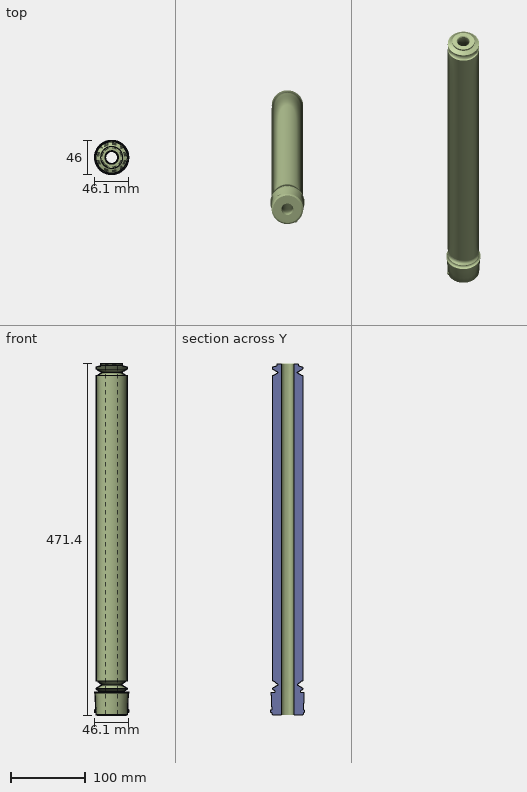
import cadquery as cq

total_height = 471.44
body_diameter = 42.0
neck_diameter = 29.4
waist_diameter = 35.0
shoulder_diameter = 38.0
groove_diameter = 26.0
bore_diameter = 16.0
bore_chamfer = 1.0

cap_height = 31.0
flange_diameter = 46.0
flange_thickness = 1.0
cap_top_diameter = 45.0
cap_bottom_diameter = 42.4
bottom_chamfer_width = 2.0
bottom_chamfer_height = 1.0

pin_diameter = 4.0
pin_height = 5.8
pin_span = 46.1
pin_chamfer = 0.6

ridge_base = 32.7
ridge_bottom = 35.3
ridge_top = 36.2
lower_groove_height = 41.0
body_bottom = 45.8
body_top = 455.7
upper_groove_height = 459.3
rim_bottom = 464.1
rim_top = 466.6
neck_base = 468.6

body_radius = body_diameter / 2
neck_radius = neck_diameter / 2
shoulder_radius = shoulder_diameter / 2
groove_radius = groove_diameter / 2
waist_radius = waist_diameter / 2


def make_column():
    """Revolve the tube with its two V-grooves, the top rim and the ridge above the cap."""
    return (
        cq.Workplane("XZ")
        .moveTo(0, cap_height)
        .lineTo(waist_radius, cap_height)
        .lineTo(waist_radius, ridge_base)
        .lineTo(body_radius, ridge_bottom)
        .lineTo(body_radius, ridge_top)
        .lineTo(groove_radius, lower_groove_height)
        .lineTo(shoulder_radius, body_bottom)
        .lineTo(body_radius, body_bottom)
        .lineTo(body_radius, body_top)
        .lineTo(shoulder_radius, body_top)
        .lineTo(groove_radius, upper_groove_height)
        .lineTo(body_radius, rim_bottom)
        .lineTo(body_radius, rim_top)
        .lineTo(neck_radius, neck_base)
        .lineTo(neck_radius, total_height)
        .lineTo(0, total_height)
        .close()
        .revolve(360, (0, 0, 0), (0, 1, 0))
    )


def make_cap():
    """Revolve the tapered cap with a thin flange at its top and a chamfered bottom edge."""
    flange_bottom = cap_height - flange_thickness
    return (
        cq.Workplane("XZ")
        .lineTo(cap_bottom_diameter / 2 - bottom_chamfer_width, 0)
        .lineTo(cap_bottom_diameter / 2, bottom_chamfer_height)
        .lineTo(cap_top_diameter / 2, flange_bottom)
        .lineTo(flange_diameter / 2, flange_bottom)
        .lineTo(flange_diameter / 2, cap_height)
        .lineTo(0, cap_height)
        .close()
        .revolve(360, (0, 0, 0), (0, 1, 0))
    )


def make_pin():
    """Make one straight pin along X; its two ends stand out of the cap."""
    pin = (
        cq.Workplane("YZ", origin=(-pin_span / 2, 0, pin_height))
        .circle(pin_diameter / 2)
        .extrude(pin_span)
    )
    return pin.faces("<X or >X").edges().chamfer(pin_chamfer)


def make_bore():
    """Make the cutter for the through bore, widened by a chamfer at the top end."""
    bore_radius = bore_diameter / 2
    return (
        cq.Workplane("XZ")
        .lineTo(bore_radius, 0)
        .lineTo(bore_radius, total_height - bore_chamfer)
        .lineTo(bore_radius + bore_chamfer, total_height)
        .lineTo(0, total_height)
        .close()
        .revolve(360, (0, 0, 0), (0, 1, 0))
    )


result = make_column().union(make_cap()).union(make_pin()).cut(make_bore())